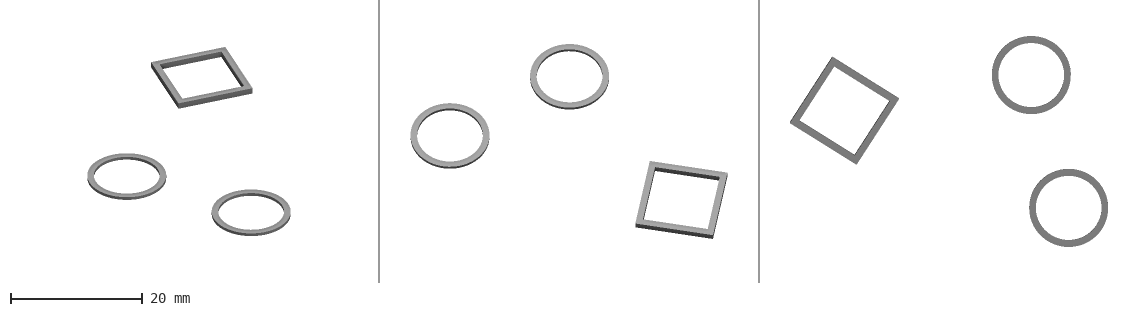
import cadquery as cq

outer_width = 12.0
inner_width = 10.0
frame_height = 1.0
ring_height = 0.5

total_length = 48.8
total_depth = 31.9

half_width = outer_width / 2
frame_center = (half_width, total_depth - half_width)
ring_centers = [
    (27.0, half_width),
    (total_length - half_width, 20.3),
]


def make_square_frame(center):
    """Square frame with a square opening, standing on Z = 0."""
    return (
        cq.Workplane("XY")
        .center(*center)
        .rect(outer_width, outer_width)
        .rect(inner_width, inner_width)
        .extrude(frame_height)
    )


def make_ring(center):
    """Flat round ring, lying on Z = 0."""
    return (
        cq.Workplane("XY")
        .center(*center)
        .circle(outer_width / 2)
        .circle(inner_width / 2)
        .extrude(ring_height)
    )


square_frame = make_square_frame(frame_center)
rings = [make_ring(center) for center in ring_centers]

result = cq.Compound.makeCompound([square_frame.val(), *[ring.val() for ring in rings]])